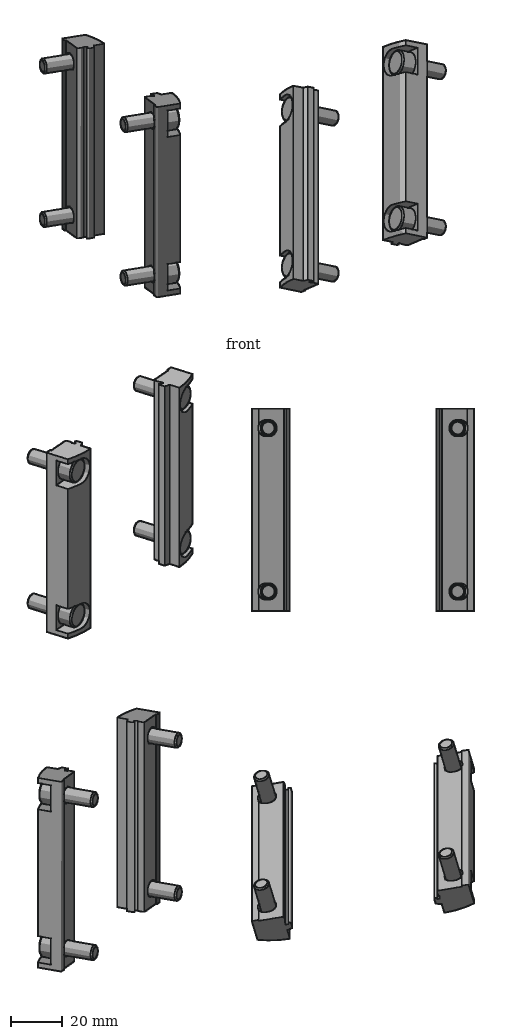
import cadquery as cq


overall_width = 85.6
bar_length = 78.0
screw_end_distance = 7.5
screw_outer_distance = 6.3

bar_width = 12.3
crest_height = 11.7
shoulder_height = 9.5
foot_width = 2.7
foot_drop = 0.5
foot_fillet = 0.25
bulge_height = 3.0
bulge_depth = 0.3

tongue_reach = 2.2
tongue_root_height = 7.2
tongue_tip_height = 6.4
notch_width = 1.0
notch_height = 4.2
hook_end_height = 3.4

shank_diameter = 6.0
shank_length = 16.0
shank_chamfer = 0.6
head_diameter = 10.0
head_height = 6.0
head_chamfer = 0.6

seat_height = 4.0
recess_width = 10.8
slot_width = 6.4
slot_length = 7.2
slot_offset = 0.3

outer_x = overall_width / 2
screw_x = outer_x - screw_outer_distance
screw_z = bar_length / 2 - screw_end_distance


def bar_blank():
    """Extruded profile of the left bar, standing along Z."""
    base_x = -outer_x
    inner_x = base_x + bar_width
    tip_x = inner_x + tongue_reach
    hook_x = inner_x + notch_width
    hook_radius = (tip_x - hook_x) / 2

    back_drop = crest_height - shoulder_height
    back_radius = (bar_width**2 + back_drop**2) / (2 * back_drop)

    blank = (
        cq.Workplane("XY", origin=(0, 0, -bar_length / 2))
        .moveTo(base_x, -foot_drop)
        .lineTo(base_x, shoulder_height)
        .radiusArc((inner_x, crest_height), back_radius)
        .lineTo(inner_x, tongue_root_height)
        .lineTo(tip_x, tongue_tip_height)
        .lineTo(tip_x, hook_end_height + hook_radius)
        .radiusArc((hook_x, hook_end_height + hook_radius), hook_radius)
        .lineTo(hook_x, notch_height)
        .lineTo(inner_x, notch_height)
        .lineTo(inner_x, bulge_height)
        .threePointArc((inner_x + bulge_depth, bulge_height / 2), (inner_x, 0))
        .lineTo(base_x + foot_width, 0)
        .lineTo(base_x + foot_width, -foot_drop)
        .close()
        .extrude(bar_length)
    )
    foot_corner = cq.selectors.NearestToPointSelector((base_x, -foot_drop, 0))
    return blank.edges("|Z").edges(foot_corner).fillet(foot_fillet)


def head_recess(z):
    """Round-ended recess for a screw head, open at the back and the outer side."""
    depth = crest_height - seat_height
    pocket = cq.Workplane("XZ", origin=(-screw_x, crest_height, z)).circle(recess_width / 2).extrude(depth)
    opening = cq.Workplane("XY").box(
        screw_outer_distance, depth, recess_width, centered=(False, False, True)
    )
    return pocket.union(opening.translate((-outer_x, seat_height, z)))


def screw_slot(z):
    """Slot for a screw shank, elongated along X."""
    return (
        cq.Workplane("XZ", origin=(-screw_x - slot_offset, seat_height, z))
        .slot2D(slot_length, slot_width)
        .extrude(seat_height + foot_drop)
    )


def left_bar():
    """Bar on the -X side, with its screw seats."""
    bar = bar_blank()
    for z in (-screw_z, screw_z):
        bar = bar.cut(head_recess(z)).cut(screw_slot(z))
    return bar


def cap_screw(x, z):
    """Screw whose head rests on the recess floor."""
    seat = cq.Workplane("XZ", origin=(x, seat_height, z))
    shank = seat.circle(shank_diameter / 2).extrude(shank_length).faces("<Y").chamfer(shank_chamfer)
    head = seat.circle(head_diameter / 2).extrude(-head_height).faces(">Y").edges().chamfer(head_chamfer)
    return head.union(shank)


bar = left_bar()
bars = [bar, bar.mirror("YZ")]
screws = [cap_screw(x, z) for x in (-screw_x, screw_x) for z in (-screw_z, screw_z)]

result = cq.Compound.makeCompound([body.val() for body in bars + screws])